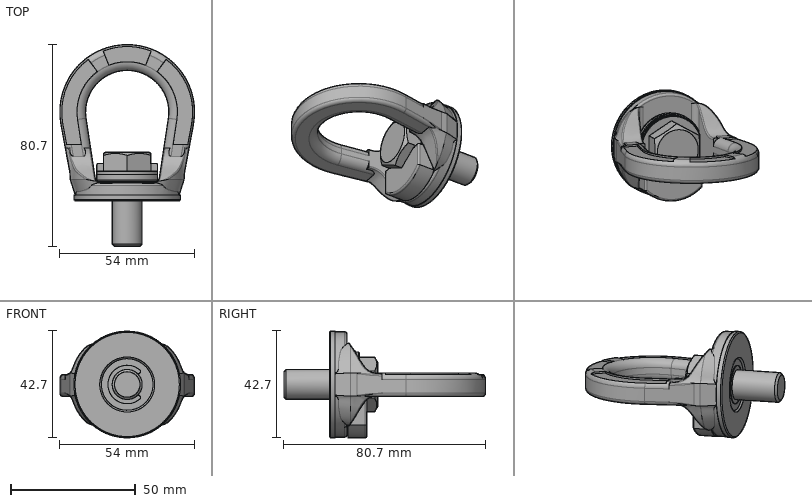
import cadquery as cq
import math


flange_radius = 21.35
flange_top = 2.3
flange_chamfer = 0.5
body_radius = 21.1
recess_radius = 11.0
recess_depth = 0.7
recess_chamfer = 0.69
bolt_radius = 6.0
bolt_end = -18.24
bolt_chamfer = 0.9
head_bottom = 12.0
head_top = 19.4
head_across_flats = 19.0
head_sides = 6
head_chamfer = 1.3
head_chamfer_angle = math.radians(30)

clip_radius = 7.7
clip_proud = 0.3
clip_gap_half = 4.4
clip_end_x = 5.6
clip_end_rounding = 0.8

eye_center_y = 35.5
eye_outer_radius = 27.0
eye_inner_radius = 16.6
outer_lean = math.radians(10.5)
inner_lean = math.radians(8.6)
eye_top = 4.6
eye_bottom = -4.9
eye_start_y = 12.0
upper_edge_radius = 2.6
lower_edge_radius = 1.5
inner_edge_radius = 3.4
foot_height = 11.0
shoulder_x = 22.8
shoulder_y = 8.5
foot_x = 20.8
floor_y = 7.05
floor_corner_radius = 2.5

field_depth = 0.7
field_rim = 3.5
field_end_y = 22.5
pad_mean_angle = 29.0
pad_span = 15.0

neck_y = 21.0
step_z = 17.6
flare_points = [(8.6, 15.5), (11.0, 11.8), (14.3, 6.7), (neck_y, 4.5)]
lens_points = [
    (12.7, 16.7),
    (15.6, 15.6),
    (19.0, 12.1),
    (21.0, 8.5),
    (22.3, 5.3),
    (eye_outer_radius, 4.2),
]
rim_edge_radius = 1.0
leg_edge_radius = 0.5
bounds_margin = 0.5

key_half_width = 12.2
key_bottom = 7.35
key_ledge = 10.5
key_block_top = 15.0
key_tip_z = -21.35
key_block_start_z = -6.0
key_plate_radius = 13.0
key_step_radius = 13.5
key_bottom_chamfer = 0.9
key_top_chamfer = 0.3
key_shoulder_z = -16.3
key_edge_radius = 0.8


def cylinder(radius, y_start, y_end):
    """Cylinder about the bolt axis between two heights along Y."""
    return cq.Workplane("XZ", origin=(0, y_start, 0)).circle(radius).extrude(y_start - y_end)


def box(x_half, y_start, y_end, z_start, z_end):
    """Box centred on X = 0 between the given limits."""
    size = (2 * x_half, y_end - y_start, z_end - z_start)
    return cq.Workplane("XY", origin=(0, y_start, z_start)).box(*size, centered=(True, False, False))


def edge_reach(edge):
    """Greatest distance of an edge from the plane X = 0."""
    bounds = edge.BoundingBox()
    return max(-bounds.xmin, bounds.xmax)


def tangent_point(radius, lean):
    """Point where a leaning leg line leaves the round of the eye."""
    return radius * math.cos(lean), eye_center_y - radius * math.sin(lean)


def leg_x(radius, lean, y):
    """X of a leaning leg line at height y."""
    tangent_x, tangent_y = tangent_point(radius, lean)
    return tangent_x - (tangent_y - y) * math.tan(lean)


def loop_outline(radius, lean, lower_points, z):
    """Round of the eye plus two leaning legs, closed through points on the right-hand side."""
    right_x, right_y = tangent_point(radius, lean)
    outline = cq.Workplane("XY", origin=(0, 0, z)).moveTo(right_x, right_y)
    outline = outline.threePointArc((0, eye_center_y + radius), (-right_x, right_y))
    for x, y in lower_points:
        outline = outline.lineTo(-x, y)
    for x, y in reversed(lower_points):
        outline = outline.lineTo(x, y)
    return outline.close()


def make_opening(z_start, z_end):
    """Opening inside the eye, down to the flat floor above the base."""
    floor_x = leg_x(eye_inner_radius, inner_lean, floor_y)
    outline = loop_outline(eye_inner_radius, inner_lean, [(floor_x, floor_y)], z_start)
    opening = outline.extrude(z_end - z_start)
    return opening.edges("|Z").edges("<Y").fillet(floor_corner_radius)


def make_front_shape(z_start, z_end):
    """Outer outline of legs and body as a plate."""
    lower = [
        (leg_x(eye_outer_radius, outer_lean, foot_height), foot_height),
        (shoulder_x, shoulder_y),
        (foot_x, flange_top),
    ]
    return loop_outline(eye_outer_radius, outer_lean, lower, z_start).extrude(z_end - z_start)


def make_lettering_fields():
    """Shallow sunk fields on the eye, parted by two raised pads and bounded inside by a rim."""
    floor_z = eye_top - field_depth
    reach = 2 * eye_outer_radius
    fields = box(reach, field_end_y, reach + eye_center_y, floor_z, eye_top + field_depth)
    rim_x = leg_x(eye_inner_radius, inner_lean, floor_y)
    inner = loop_outline(eye_inner_radius, inner_lean, [(rim_x, floor_y)], floor_z)
    fields = fields.cut(inner.offset2D(field_rim).extrude(2 * field_depth))
    for side in (-1, 1):
        angles = [math.radians(side * (pad_mean_angle + end * pad_span / 2)) for end in (-1, 1)]
        corners = [(reach * math.sin(a), eye_center_y + reach * math.cos(a)) for a in angles]
        pad = cq.Workplane("XY", origin=(0, 0, floor_z))
        pad = pad.polyline([(0, eye_center_y)] + corners).close().extrude(2 * field_depth)
        fields = fields.cut(pad)
    return fields


def is_inner_edge(edge):
    """True for edges of the eye that border its opening."""
    return edge_reach(edge) < eye_inner_radius + upper_edge_radius


def make_eye():
    """Ring and legs with rounded edges and sunk lettering fields."""
    eye = make_front_shape(eye_bottom, eye_top)
    eye = eye.cut(box(2 * eye_outer_radius, 0, eye_start_y, eye_bottom, eye_top))
    eye = eye.faces(">Z").edges("not #Y").fillet(upper_edge_radius)
    eye = eye.faces("<Z").edges("not #Y").fillet(lower_edge_radius)
    eye = eye.cut(make_opening(eye_bottom, eye_top))
    eye = eye.faces("<Z or >Z").edges("not #Y").filter(is_inner_edge).fillet(inner_edge_radius)
    return eye.cut(make_lettering_fields())


def make_saddle():
    """Side profile of the body: a concave flare from each leg down to the round base."""
    saddle = cq.Workplane("YZ").moveTo(flange_top, body_radius).lineTo(floor_y, body_radius)
    saddle = saddle.lineTo(floor_y, step_z).spline(flare_points, includeCurrent=True)
    saddle = saddle.lineTo(neck_y, 0).lineTo(flange_top, 0).close()
    half = saddle.extrude(eye_outer_radius, both=True)
    return half.union(half.mirror("XY"))


def draw_lens(plane, scale):
    """Quarter of the widened body's outline along Y, scaled about the bolt axis."""
    start, *side = [(scale * x, scale * z) for x, z in lens_points]
    lens = plane.moveTo(*start).spline(side, includeCurrent=True)
    return lens.lineTo(side[-1][0], 0).lineTo(0, 0).lineTo(0, start[1]).close()


def make_plan_shape():
    """Round base widened by a lens that narrows to the legs and tapers towards the flange."""
    shoulder = cq.Workplane("XZ", origin=(0, shoulder_y, 0))
    quarter = draw_lens(shoulder, 1).extrude(shoulder_y - neck_y)
    taper = draw_lens(shoulder, 1).workplane(offset=shoulder_y - flange_top)
    taper = draw_lens(taper, foot_x / shoulder_x).loft(ruled=True)
    quarter = quarter.union(taper)
    half = quarter.union(quarter.mirror("YZ"))
    rim = cylinder(body_radius, flange_top, floor_y).faces(">Y").edges().fillet(rim_edge_radius)
    return half.union(half.mirror("XY")).union(rim)


def is_leg_edge(edge):
    """True for the long saddle edges of the legs."""
    bounds = edge.BoundingBox()
    return bounds.ymax > neck_y - bounds_margin and bounds.ymin < foot_height


def is_inner_leg_edge(edge):
    """True for the long saddle edges of the legs that border the opening."""
    return is_leg_edge(edge) and edge_reach(edge) < eye_inner_radius


def is_outer_leg_edge(edge):
    """True for the long saddle edges on the outside of the legs."""
    return is_leg_edge(edge) and edge_reach(edge) > shoulder_x


def make_body():
    """Body common to the front outline, the saddle and the plan."""
    body = make_front_shape(-flange_radius, flange_radius).intersect(make_saddle())
    body = body.intersect(make_plan_shape())
    body = body.cut(make_opening(-flange_radius, flange_radius))
    for on_this_side in (is_inner_leg_edge, is_outer_leg_edge):
        body = body.edges().filter(on_this_side).fillet(leg_edge_radius)
    return body


def make_flange():
    """Round seating flange with a bevelled recess around the bolt."""
    flange = cylinder(flange_radius, 0, flange_top).faces("<Y").edges().chamfer(flange_chamfer)
    recess = cylinder(recess_radius, 0, recess_depth).faces(">Y").edges()
    return flange.cut(recess.chamfer(recess_chamfer))


def make_clip():
    """Open retaining ring around the bolt, its gap facing +X."""
    clip = cylinder(clip_radius, recess_depth - clip_proud, flange_top)
    gap = cq.Workplane("XY").box(clip_radius, 2 * flange_top, 2 * clip_gap_half)
    gap = gap.translate((clip_end_x, 0, 0))
    return clip.cut(gap).edges("|Y and >X").fillet(clip_end_rounding)


def make_bolt():
    """Hex bolt with its corners on the Z axis."""
    shank = cylinder(bolt_radius, bolt_end, head_top).faces("<Y").edges().chamfer(bolt_chamfer)
    across_corners = head_across_flats / math.cos(math.pi / head_sides)
    head = cq.Workplane("XZ", origin=(0, head_bottom, 0)).transformed(rotate=(0, 0, 90))
    head = head.polygon(head_sides, across_corners).extrude(head_bottom - head_top)
    run = head_chamfer / math.tan(head_chamfer_angle)
    cone = cylinder(across_corners / 2, head_bottom, head_top)
    cone = cone.faces(">Y").edges().chamfer(head_chamfer, run)
    return shank.union(head.intersect(cone))


def make_key_plate(radius, y_start, y_end):
    """Part of the key under the head: straight sides and a round end on the +Z side."""
    side_z = math.sqrt(radius**2 - key_half_width**2)
    plate = cq.Workplane("XZ", origin=(0, y_start, 0)).moveTo(key_half_width, key_block_start_z)
    plate = plate.lineTo(key_half_width, side_z).threePointArc((0, radius), (-key_half_width, side_z))
    return plate.lineTo(-key_half_width, key_block_start_z).close().extrude(y_start - y_end)


def make_key():
    """Locking key: a plate under the bolt head with a raised block that ends in a rounded tip."""
    block = cq.Workplane("XZ", origin=(0, key_bottom, 0)).moveTo(key_half_width, key_block_start_z)
    block = block.lineTo(key_half_width, key_shoulder_z)
    block = block.threePointArc((0, key_tip_z), (-key_half_width, key_shoulder_z))
    block = block.lineTo(-key_half_width, key_block_start_z).close().extrude(key_bottom - key_block_top)
    block = block.faces(">Y").edges("not >Z").fillet(key_edge_radius)
    plate = make_key_plate(key_plate_radius, key_bottom, head_bottom)
    step = make_key_plate(key_step_radius, key_bottom, key_ledge)
    step = step.faces("<Y").edges("not <Z").chamfer(key_bottom_chamfer)
    return block.union(plate.faces(">Y").edges(">Z").chamfer(key_top_chamfer)).union(step)


result = make_eye().union(make_body()).union(make_flange()).union(make_clip())
result = result.union(make_key()).union(make_bolt())